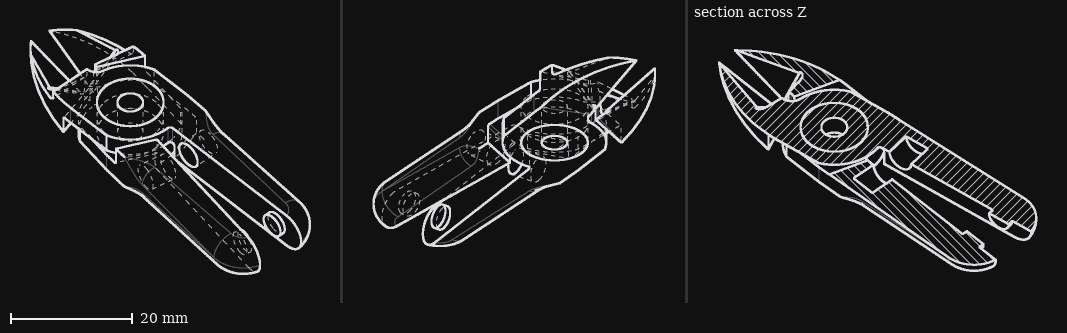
import cadquery as cq
import math


thickness = 7.0
half_thick = thickness / 2
open_angle = 4.6
margin = 12.75

rivet_radius = 5.5
bore_radius = 2.1

hub_radius = 8.55
flat_y = 8.0
flat_x = math.sqrt(hub_radius**2 - flat_y**2)
lap_wall = 9.4
lap_angle = 16.0
lap_fillet = 0.4
mouth_fillet = 2.05
slot_fillet = 0.5

tip_x = -23.95
jaw_arc_end = -5.8
jaw_arc_radius = ((jaw_arc_end - tip_x)**2 + flat_y**2) / (2 * flat_y)
step_x = -10.45
shelf_z = 1.3
step_fillet = 1.0
bevel_end_inner = -10.5
bevel_end_outer = -7.7
edge_slope = half_thick / (bevel_end_inner - tip_x)
bevel_skew = edge_slope * (bevel_end_outer - bevel_end_inner) / flat_y
grind_slope = 0.7
grind_lean = 0.17
grind_end_x = -11.2
relief_width = 0.95
relief_depth = 0.16
relief_fillet = 0.9

handle_inner_y = 1.1
handle_start_x = 4.95
handle_end_x = 34.4
handle_end_y = 6.45
handle_tip_x = 40.05
edge_angle = math.atan2(flat_y - handle_end_y, handle_end_x - handle_start_x)
edge_length = math.hypot(flat_y - handle_end_y, handle_end_x - handle_start_x)
round_full = half_thick
round_begin = 2.55
run_out = [(4.9, 0.03), (6.55, 1.2), (8.4, 2.2), (9.8, round_begin)]
pocket_x = 12.85
pocket_radius = 2.2
pocket_depth = 4.45
button_radius = 2.05
button_height = 0.95

end_dx = handle_tip_x - handle_end_x
end_dy = handle_inner_y - handle_end_y
end_radius = -(end_dx**2 + end_dy**2) / (2 * (end_dx * math.sin(edge_angle) + end_dy * math.cos(edge_angle)))
end_center_x = handle_end_x - end_radius * math.sin(edge_angle)
end_center_y = handle_end_y - end_radius * math.cos(edge_angle)
end_sweep = 100.0


def on_circle(center_x, center_y, radius, degrees):
    """Point on a circle at the given angle."""
    angle = math.radians(degrees)
    return (center_x + radius * math.cos(angle), center_y + radius * math.sin(angle))


def lever_blank():
    """Full-thickness plate with the outline of one closed lever."""
    mouth_x = -hub_radius
    slot_x = math.sqrt(hub_radius**2 - handle_inner_y**2)
    half_sweep = math.degrees(math.asin((jaw_arc_end - tip_x) / jaw_arc_radius)) / 2
    jaw_mid = on_circle(jaw_arc_end, jaw_arc_radius - flat_y, jaw_arc_radius, -90 - half_sweep)
    tip_angle = math.degrees(math.atan2(handle_inner_y - end_center_y, handle_tip_x - end_center_x))
    start_angle = 90 - math.degrees(edge_angle)
    end_mid = on_circle(end_center_x, end_center_y, end_radius, (tip_angle + start_angle) / 2)
    blank = (
        cq.Workplane("XY", origin=(0, 0, -half_thick))
        .moveTo(tip_x, 0)
        .threePointArc(jaw_mid, (jaw_arc_end, -flat_y))
        .lineTo(flat_x, -flat_y)
        .threePointArc(on_circle(0, 0, hub_radius, -30), (slot_x, handle_inner_y))
        .lineTo(handle_tip_x, handle_inner_y)
        .threePointArc(end_mid, (handle_end_x, handle_end_y))
        .lineTo(handle_start_x, flat_y)
        .lineTo(-flat_x, flat_y)
        .threePointArc(on_circle(0, 0, hub_radius, 150), (mouth_x, 0))
        .close()
        .extrude(thickness)
    )
    blank = blank.edges(cq.NearestToPointSelector((mouth_x, 0, 0))).fillet(mouth_fillet)
    return blank.edges(cq.NearestToPointSelector((slot_x, handle_inner_y, 0))).fillet(slot_fillet)


def step_cutter():
    """Clears the jaw above its shelf, with a fillet at the foot of the step."""
    length = step_x - tip_x + margin
    return (
        cq.Workplane("XY")
        .box(length, 2 * margin, margin, centered=(False, True, False))
        .translate((step_x - length, 0, shelf_z))
        .edges(">X and <Z")
        .fillet(step_fillet)
    )


def bevel_cutter():
    """Everything below the sloping underside of the jaw."""
    along_edge = (1, 0, -edge_slope)
    downward = (-edge_slope, -bevel_skew, -1)
    plane = cq.Plane(origin=(tip_x, 0, 0), xDir=along_edge, normal=downward)
    return cq.Workplane(plane).rect(4 * margin, 4 * margin).extrude(margin)


def grind_cutter():
    """Everything above the ground face of the jaw, with a relief groove and fillet at the end wall."""
    across = cq.Vector(-grind_lean, -1, grind_slope + grind_lean * edge_slope)
    face_normal = cq.Vector(edge_slope, grind_slope, 1)
    along = face_normal.cross(across)
    end_foot = cq.Vector(grind_end_x, 0, -edge_slope * (grind_end_x - tip_x))
    arc_mid = on_circle(-relief_fillet, relief_fillet - relief_depth, relief_fillet, -45)
    plane = cq.Plane(origin=end_foot, xDir=along, normal=across)
    return (
        cq.Workplane(plane)
        .moveTo(-2 * margin, 0)
        .lineTo(-relief_width, 0)
        .lineTo(-relief_width, -relief_depth)
        .lineTo(-relief_fillet, -relief_depth)
        .threePointArc(arc_mid, (0, relief_fillet - relief_depth))
        .lineTo(0, margin)
        .lineTo(-2 * margin, margin)
        .close()
        .extrude(margin, both=True)
    )


def lap_cutter():
    """Recess below z = 0 that takes the other lever's hub."""
    return (
        cq.Workplane("XY")
        .box(2 * lap_wall, 4 * margin, margin, centered=(True, True, False))
        .translate((0, 0, -margin))
        .edges("|Y and >Z")
        .fillet(lap_fillet)
        .rotate((0, 0, 0), (0, 0, 1), lap_angle)
    )


def corner(work, radius):
    """Adds the sliver outside a rounding; the sharp corner is at the local origin."""
    arc_mid = radius * (1 - math.sqrt(0.5))
    return work.lineTo(-radius, 0).threePointArc((-arc_mid, -arc_mid), (0, -radius)).close()


def edge_plane(distance):
    """Plane across the handle's top outer edge: local x points outward, local y up."""
    along = (math.cos(edge_angle), -math.sin(edge_angle))
    outward = (math.sin(edge_angle), math.cos(edge_angle), 0)
    origin = (handle_start_x + distance * along[0], flat_y + distance * along[1], half_thick)
    return cq.Plane(origin=origin, xDir=outward, normal=(*along, 0))


def loft_corners(stations):
    """Sliver lofted through (distance along the edge, rounding radius) stations."""
    wires = [corner(cq.Workplane(edge_plane(at)), radius).val() for at, radius in stations]
    return cq.Workplane(cq.Solid.makeLoft(wires))


def end_cutter():
    """Sliver of constant radius carried round the end arc of the handle."""
    axis_top = (-end_radius, 0)
    axis_bottom = (-end_radius, -1)
    return corner(cq.Workplane(edge_plane(edge_length)), round_full).revolve(end_sweep, axis_top, axis_bottom)


def round_handle(blank):
    """Rounds the outer edges of the handle, top and bottom."""
    cutters = [
        loft_corners(run_out),
        loft_corners([run_out[-1], (edge_length, round_full)]),
        end_cutter(),
    ]
    for cutter in cutters:
        blank = blank.cut(cutter).cut(cutter.mirror("XY"))
    return blank


def inner_face(x):
    """Workplane on the handle's inner face, facing the other handle."""
    return cq.Workplane(cq.Plane(origin=(x, handle_inner_y, 0), xDir=(1, 0, 0), normal=(0, -1, 0)))


def spring_pocket():
    """Blind bore across the handle for the end of a return spring."""
    return inner_face(pocket_x).circle(pocket_radius).extrude(-pocket_depth)


def button():
    """Round stop near the handle end."""
    return inner_face(end_center_x).circle(button_radius).extrude(button_height)


def closed_lever():
    """One lever in the closed position with a full-thickness hub."""
    lever = lever_blank().cut(step_cutter()).cut(bevel_cutter()).cut(grind_cutter())
    lever = round_handle(lever).cut(spring_pocket()).union(button())
    return lever.cut(cq.Workplane("XY").circle(rivet_radius).extrude(half_thick, both=True))


def make_upper_lever():
    """Lever with the upper lap: jaw on -Y, handle on +Y."""
    return closed_lever().cut(lap_cutter()).rotate((0, 0, 0), (0, 0, 1), open_angle)


def make_lower_lever():
    """Opposite-hand lever with the lower lap: jaw on +Y, handle on -Y."""
    lever = closed_lever().cut(lap_cutter().mirror("XY"))
    return lever.mirror("XZ").rotate((0, 0, 0), (0, 0, 1), -open_angle)


def make_rivet():
    """Hollow rivet joining the levers, flush with both faces."""
    return cq.Workplane("XY").circle(rivet_radius).circle(bore_radius).extrude(half_thick, both=True)


upper_lever = make_upper_lever()
lower_lever = make_lower_lever()
rivet = make_rivet()

result = cq.Compound.makeCompound([upper_lever.solids().val(), lower_lever.solids().val(), rivet.solids().val()])